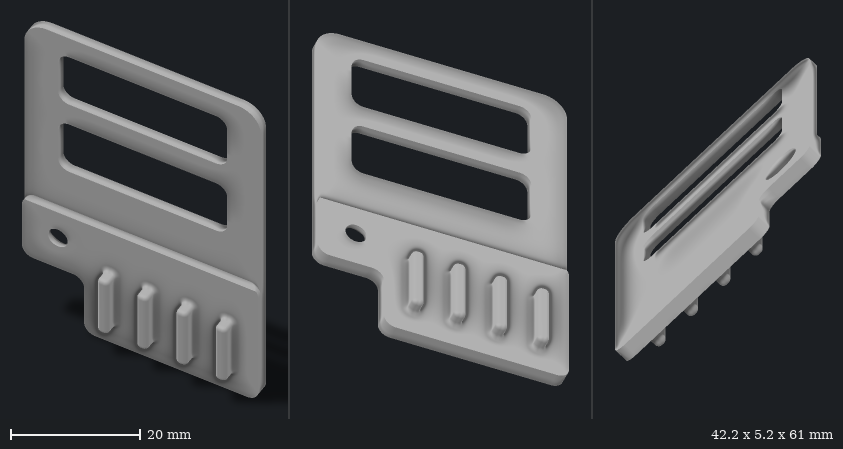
import cadquery as cq

WIDTH = 42.2
HEIGHT = 61.0
DEPTH = 5.2
THIN = 1.65
THICK = 2.45
HALF_WIDTH = WIDTH / 2

TOP_RADIUS = 4.0
CORNER_RADIUS = 2.0

STEP_Z = 24.2
SLOPE_HEIGHT = THICK - THIN

NOTCH_WIDTH = 11.1
NOTCH_HEIGHT = 11.5

WINDOW_COUNT = 2
WINDOW_WIDTH = 30.2
WINDOW_HEIGHT = 10.2
WINDOW_PITCH = 14.45
TOP_MARGIN = 4.1

HOLE_DIAMETER = 3.55
HOLE_SIDE_DISTANCE = 6.4
HOLE_X = HOLE_SIDE_DISTANCE - HALF_WIDTH
HOLE_Z = 17.95
COUNTERSINK_DIAMETER = 6.85
COUNTERSINK_DEPTH = (COUNTERSINK_DIAMETER - HOLE_DIAMETER) / 2

RIB_COUNT = 4
RIB_PITCH = 7.0
RIB_WIDTH = 2.0
RIB_LENGTH = 11.4
RIB_RADIUS = 0.8
RIB_TIP_RADIUS = RIB_RADIUS
RIB_FOOT_RADIUS = 0.85
RIB_SIDE_DISTANCE = 5.3
LAST_RIB_X = HALF_WIDTH - RIB_SIDE_DISTANCE
RIB_Z = 9.75

SELECT_MARGIN = 0.05


def slab(x_size, z_bottom, z_top, thickness):
    """Block centred on X = 0, from the back face toward -Y."""
    z_size = z_top - z_bottom
    block = cq.Workplane("XY").box(x_size, thickness, z_size, centered=(True, False, False))
    return block.translate((0, -thickness, z_bottom))


def make_plate():
    """Thin upper plate with the thick lower area, notched and rounded."""
    thin = slab(WIDTH, 0, HEIGHT, THIN)
    thin = thin.edges("|Y and >Z").fillet(TOP_RADIUS)

    profile = [
        (0, 0),
        (-THICK, 0),
        (-THICK, STEP_Z - SLOPE_HEIGHT),
        (-THIN, STEP_Z),
        (0, STEP_Z),
    ]
    thick = cq.Workplane("YZ").polyline(profile).close().extrude(HALF_WIDTH, both=True)
    thick = thick.edges("|Y and >Z").fillet(CORNER_RADIUS)

    notch = slab(2 * NOTCH_WIDTH, 0, NOTCH_HEIGHT, DEPTH).translate((-HALF_WIDTH, 0, 0))
    plate = thin.union(thick).cut(notch)
    notch_x = NOTCH_WIDTH - HALF_WIDTH
    lower_corners = [
        (-HALF_WIDTH, NOTCH_HEIGHT),
        (notch_x, NOTCH_HEIGHT),
        (notch_x, 0),
        (HALF_WIDTH, 0),
    ]
    for x, z in lower_corners:
        corner = cq.selectors.NearestToPointSelector((x, -THICK / 2, z))
        plate = plate.edges("|Y").edges(corner).fillet(CORNER_RADIUS)
    return plate


def make_windows():
    """Cutters for the rounded rectangular windows."""
    windows = cq.Workplane("XY")
    for index in range(WINDOW_COUNT):
        top = HEIGHT - TOP_MARGIN - index * WINDOW_PITCH
        window = slab(WINDOW_WIDTH, top - WINDOW_HEIGHT, top, DEPTH)
        windows = windows.add(window.edges("|Y").fillet(CORNER_RADIUS))
    return windows.combine()


def make_hole():
    """Cutter for the through hole and the cone opening toward the back."""
    axis = cq.Workplane("XZ").center(HOLE_X, HOLE_Z)
    hole = axis.circle(HOLE_DIAMETER / 2).extrude(DEPTH)
    cone = axis.circle(COUNTERSINK_DIAMETER / 2).workplane(offset=COUNTERSINK_DEPTH)
    cone = cone.circle(HOLE_DIAMETER / 2).loft(ruled=True)
    return hole.union(cone)


def add_ribs(body):
    """Join the ribs, with rounded tips and a fillet around each foot."""
    rib = slab(RIB_WIDTH, RIB_Z - RIB_LENGTH / 2, RIB_Z + RIB_LENGTH / 2, DEPTH)
    rib = rib.edges("|Y").fillet(RIB_RADIUS)
    rib = rib.faces("<Y").edges().fillet(RIB_TIP_RADIUS)
    for index in range(RIB_COUNT):
        rib_x = LAST_RIB_X - index * RIB_PITCH
        body = body.union(rib.translate((rib_x, 0, 0)))
        around_foot = cq.selectors.BoxSelector(
            (rib_x - RIB_WIDTH, -THICK - SELECT_MARGIN, RIB_Z - RIB_LENGTH),
            (rib_x + RIB_WIDTH, -THICK + SELECT_MARGIN, RIB_Z + RIB_LENGTH),
        )
        body = body.edges(around_foot).fillet(RIB_FOOT_RADIUS)
    return body


result = add_ribs(make_plate().cut(make_windows()).cut(make_hole()))